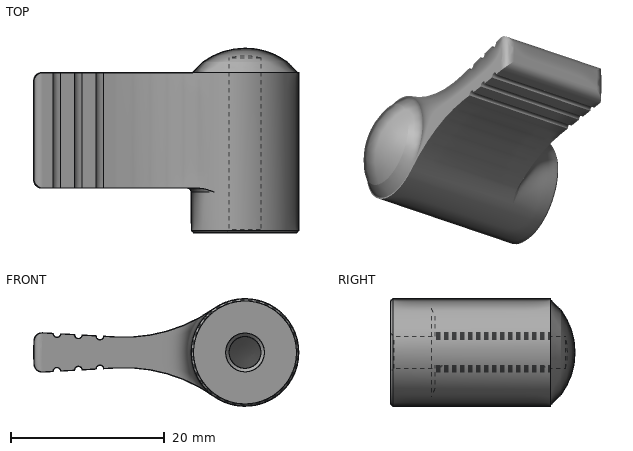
import cadquery as cq
import math

hub_radius = 7.0
hub_length = 20.83
hub_chamfer = 0.3

total_length = 24.0
cap_base_radius = 6.83
dome_radius = 5.5
dome_start = 22.18

hole_radius = 2.07
hole_mouth_radius = 2.52
dome_thickness = 1.0

handle_reach = 34.5 - hub_radius
handle_front = 5.8
end_fillet = 1.1
waist_x = -15.65
waist_arc_radius = 20.0
taper_angle = math.radians(3.2)
root_fillet = 0.5

groove_radius = 0.5
groove_count = 3
first_groove_x = -24.45
groove_pitch = 2.8

cap_height = total_length - dome_start
dome_sphere_radius = (dome_radius**2 + cap_height**2) / (2 * cap_height)

waist_center_distance = hub_radius + waist_arc_radius
waist_center_z = math.sqrt(waist_center_distance**2 - waist_x**2)
hub_contact_x = waist_x * hub_radius / waist_center_distance
hub_contact_z = waist_center_z * hub_radius / waist_center_distance
grip_start_x = waist_x - waist_arc_radius * math.sin(taper_angle)
grip_start_z = waist_center_z - waist_arc_radius * math.cos(taper_angle)


def grip_height(x):
    """Half thickness of the tapered grip at a given X."""
    return grip_start_z + (grip_start_x - x) * math.tan(taper_angle)


def waist_arc_middle():
    """Point halfway along the waist arc."""
    to_hub = math.atan2(hub_contact_x - waist_x, waist_center_z - hub_contact_z)
    angle = (to_hub - taper_angle) / 2
    return (
        waist_x + waist_arc_radius * math.sin(angle),
        waist_center_z - waist_arc_radius * math.cos(angle),
    )


def sphere_point(radius, angle):
    """Radius and Y of a point on a sphere concentric with the dome."""
    sphere_center_y = total_length - dome_sphere_radius
    return (radius * math.sin(angle), sphere_center_y + radius * math.cos(angle))


def make_hub():
    """Revolve the hub and its cap around the Y axis."""
    half_angle = math.asin(dome_radius / dome_sphere_radius) / 2
    dome_middle = sphere_point(dome_sphere_radius, half_angle)
    return (
        cq.Workplane("XY")
        .lineTo(hub_radius - hub_chamfer, 0)
        .lineTo(hub_radius, hub_chamfer)
        .lineTo(hub_radius, hub_length)
        .lineTo(cap_base_radius, hub_length)
        .lineTo(dome_radius, dome_start)
        .threePointArc(dome_middle, (0, total_length))
        .close()
        .revolve(360, (0, 0), (0, 1))
    )


def make_web(front):
    """Extrude the handle outline from the given Y to the back of the hub."""
    end_z = grip_height(-handle_reach)
    middle_x, middle_z = waist_arc_middle()
    return (
        cq.Workplane("XZ", origin=(0, front, 0))
        .moveTo(0, -hub_contact_z)
        .lineTo(hub_contact_x, -hub_contact_z)
        .threePointArc((middle_x, -middle_z), (grip_start_x, -grip_start_z))
        .lineTo(-handle_reach, -end_z)
        .lineTo(-handle_reach, end_z)
        .lineTo(grip_start_x, grip_start_z)
        .threePointArc((middle_x, middle_z), (hub_contact_x, hub_contact_z))
        .lineTo(0, hub_contact_z)
        .close()
        .extrude(front - hub_length)
    )


def make_handle():
    """Handle with an end face curved about the hub axis and rounded edges."""
    reach_limit = cq.Workplane("XZ").circle(handle_reach).extrude(-hub_length)
    handle = make_web(handle_front).intersect(reach_limit)
    return handle.faces("<X").edges().fillet(end_fillet)


def make_root_fillet():
    """Concave fillet from the hub to the front face of the handle."""
    outer = hub_radius + root_fillet
    start = handle_front - root_fillet
    bulge = root_fillet * math.sqrt(0.5)
    ring = (
        cq.Workplane("XY")
        .moveTo(0, start)
        .lineTo(hub_radius, start)
        .threePointArc((outer - bulge, start + bulge), (outer, handle_front))
        .lineTo(0, handle_front)
        .close()
        .revolve(360, (0, 0), (0, 1))
    )
    return ring.intersect(make_web(start))


def make_grooves():
    """Round cutters centered on both grip faces."""
    columns = [first_groove_x + i * groove_pitch for i in range(groove_count)]
    centers = [(x, side * grip_height(x)) for x in columns for side in (-1, 1)]
    return cq.Workplane("XZ").pushPoints(centers).circle(groove_radius).extrude(-hub_length)


def make_hole():
    """Drilled hole with a 45 degree chamfered mouth and a concave spherical bottom."""
    floor_radius = dome_sphere_radius - dome_thickness
    edge_angle = math.asin(hole_radius / floor_radius)
    return (
        cq.Workplane("XY")
        .lineTo(hole_mouth_radius, 0)
        .lineTo(hole_radius, hole_mouth_radius - hole_radius)
        .lineTo(*sphere_point(floor_radius, edge_angle))
        .threePointArc(sphere_point(floor_radius, edge_angle / 2), sphere_point(floor_radius, 0))
        .close()
        .revolve(360, (0, 0), (0, 1))
    )


lever = make_hub().union(make_handle()).union(make_root_fillet())
result = lever.cut(make_grooves()).cut(make_hole())